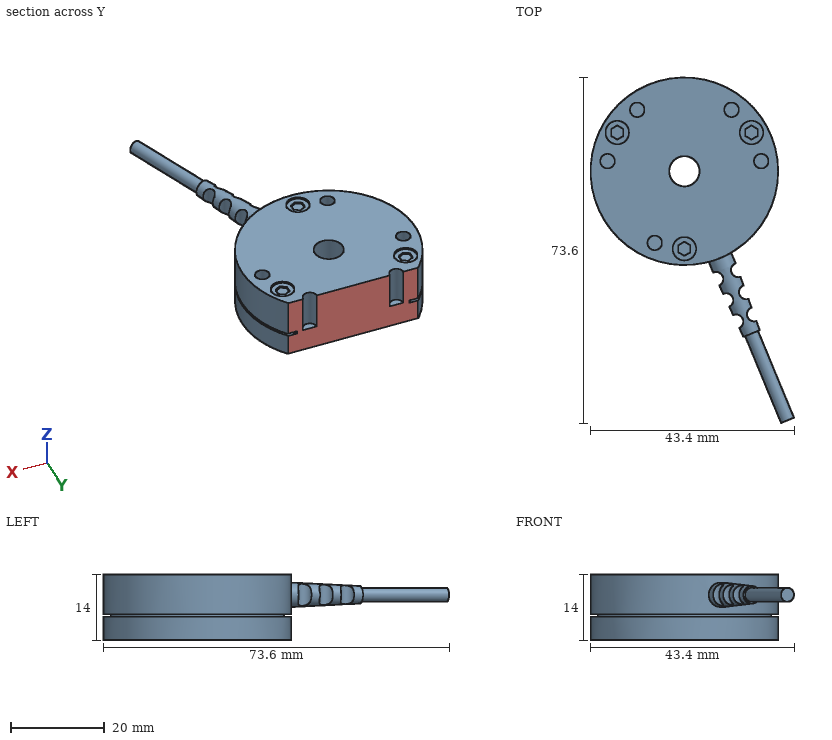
import cadquery as cq
import math

body_radius = 20.0
body_height = 14.0
lower_plate_height = 5.0
groove_height = 0.5
groove_depth = 1.5
bore_diameter = 6.4

pattern_radius = 16.5
screw_angles = (30.0, 150.0, 270.0)
hole_spread = 22.5
mounting_hole_diameter = 3.1
mounting_hole_depth = body_height - lower_plate_height - groove_height
screw_head_diameter = 5.0
screw_head_recess = 0.4
hex_across_flats = 2.6
hex_sides = 6
hex_turn = 90.0
hex_depth = 0.4

cable_angle = 270.0 + hole_spread
cable_axis_height = 9.65
cable_radius = 1.5
cable_end_distance = 57.42
relief_radius = 2.6
relief_tip_radius = 1.9
taper_start_distance = 22.4
relief_end_distance = 37.4
root_distance = 18.0

scallop_radius = 1.5
scallop_count = 3
scallop_pitch = 5.0
first_scallop_distance = 23.8


def polar_point(radius, angle):
    """Return the XY point at a radius and an angle in degrees."""
    turn = math.radians(angle)
    return (radius * math.cos(turn), radius * math.sin(turn))


def make_body():
    """Disc with a groove around its rim and a bore through its centre."""
    groove = (
        cq.Workplane("XY", origin=(0, 0, lower_plate_height))
        .circle(body_radius)
        .circle(body_radius - groove_depth)
        .extrude(groove_height)
    )
    disc = cq.Workplane("XY").circle(body_radius).extrude(body_height)
    bore = cq.Workplane("XY").circle(bore_diameter / 2).extrude(body_height)
    return disc.cut(groove).cut(bore)


def mounting_hole_points():
    """One hole on each side of every screw, except where the cable leaves."""
    angles = []
    for screw_angle in screw_angles:
        for offset in (-hole_spread, hole_spread):
            angles.append(screw_angle + offset)
    return [polar_point(pattern_radius, angle) for angle in angles if angle != cable_angle]


def make_fastener_cuts():
    """Blind mounting holes, screw head recesses and hexagon sockets."""
    top = cq.Workplane("XY", origin=(0, 0, body_height))
    holes = top.pushPoints(mounting_hole_points()).circle(mounting_hole_diameter / 2)
    cuts = holes.extrude(-mounting_hole_depth)

    screw_points = [polar_point(pattern_radius, angle) for angle in screw_angles]
    recesses = top.pushPoints(screw_points).circle(screw_head_diameter / 2)
    cuts = cuts.union(recesses.extrude(-screw_head_recess))

    hex_across_corners = hex_across_flats / math.cos(math.pi / hex_sides)
    socket_total_depth = screw_head_recess + hex_depth
    for point in screw_points:
        socket = (
            cq.Workplane("XY", origin=(*point, body_height))
            .transformed(rotate=(0, 0, hex_turn))
            .polygon(hex_sides, hex_across_corners)
            .extrude(-socket_total_depth)
        )
        cuts = cuts.union(socket)
    return cuts


def relief_radius_at(distance):
    """Outer radius of the tapered strain relief at a distance from the disc axis."""
    fraction = (distance - taper_start_distance) / (relief_end_distance - taper_start_distance)
    return relief_radius + fraction * (relief_tip_radius - relief_radius)


def make_cable():
    """Cable with its scalloped strain relief, built along +X and turned into place."""
    profile = [
        (root_distance, 0),
        (root_distance, relief_radius),
        (taper_start_distance, relief_radius),
        (relief_end_distance, relief_tip_radius),
        (relief_end_distance, cable_radius),
        (cable_end_distance, cable_radius),
        (cable_end_distance, 0),
    ]
    cable = cq.Workplane("XZ").polyline(profile).close().revolve(360, (0, 0, 0), (1, 0, 0))

    scallop_points = []
    for index in range(scallop_count):
        distance = first_scallop_distance + index * scallop_pitch
        offset = relief_radius_at(distance)
        scallop_points += [(distance, offset), (distance, -offset)]
    scallops = (
        cq.Workplane("XY")
        .pushPoints(scallop_points)
        .circle(scallop_radius)
        .extrude(relief_radius, both=True)
    )
    cable = cable.cut(scallops)
    return cable.rotate((0, 0, 0), (0, 0, 1), cable_angle).translate((0, 0, cable_axis_height))


result = make_body().union(make_cable()).cut(make_fastener_cuts())